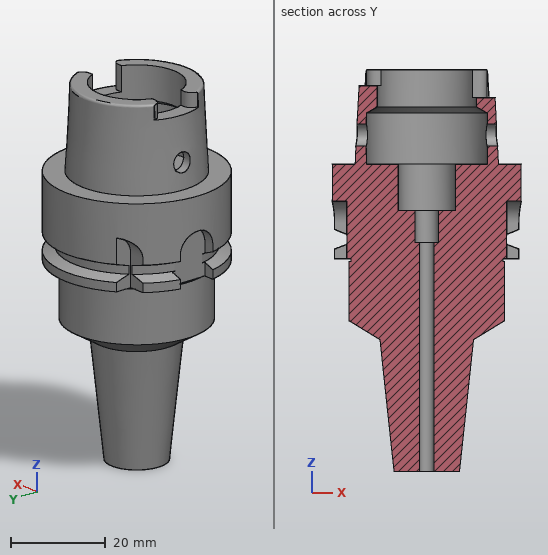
import cadquery as cq
import math

total_height = 85.0

nose_tip_radius = 7.0
nose_root_radius = 9.95
nose_top = 27.9
body_radius = 16.5
body_bottom = 31.9

collar_diameter = 40.0
collar_radius = collar_diameter / 2
collar_bottom = 45.0
collar_top = 65.0
neck_radius = 17.3
groove_lower_edge = 47.1
groove_floor_bottom = 48.1
groove_floor_top = 50.1
groove_upper_edge = 51.2

undercut_height = 0.5
undercut_depth = 0.3

shank_root_radius = 15.2
shank_top_radius = 14.2
shank_edge_rounding = 0.6

mouth_radius = 10.45
lip_bottom = 77.1
chamber_radius = 12.75
clamping_face_angle = 30.0
chamber_cone_height = (chamber_radius - mouth_radius) * math.tan(math.radians(clamping_face_angle))
chamber_floor = collar_top
well_radius = 6.0
well_floor = 55.25
socket_radius = 2.5
socket_depth = 6.8
through_radius = 1.5

drive_slot_half_width = 4.0
drive_slot_flare = 2.0
drive_flare_start = 10.7
left_slot_depth = 3.4
right_slot_depth = 5.95

cross_hole_radius = 2.3
cross_hole_height = 71.15

keyway_radius = 4.5
keyway_top = 57.1
keyway_floor = 16.9
offset_keyway_floor = 12.1
offset_keyway_inner_wall = 12.0

outside_reach = 2 * collar_radius


def turned_body():
    undercut_radius = body_radius - undercut_depth
    profile = [
        (0, 0),
        (nose_tip_radius, 0),
        (nose_root_radius, nose_top),
        (body_radius, body_bottom),
        (body_radius, collar_bottom - undercut_height),
        (undercut_radius, collar_bottom - undercut_height),
        (undercut_radius, collar_bottom),
        (collar_radius, collar_bottom),
        (collar_radius, groove_lower_edge),
        (neck_radius, groove_floor_bottom),
        (neck_radius, groove_floor_top),
        (collar_radius, groove_upper_edge),
        (collar_radius, collar_top),
        (shank_root_radius, collar_top),
        (shank_top_radius, total_height),
        (0, total_height),
    ]
    body = cq.Workplane("XZ").polyline(profile).close().revolve(360, (0, 0), (0, 1))
    return body.edges(">Z").fillet(shank_edge_rounding)


def interior():
    socket_floor = well_floor - socket_depth
    profile = [
        (0, 0),
        (through_radius, 0),
        (through_radius, socket_floor),
        (socket_radius, socket_floor),
        (socket_radius, well_floor),
        (well_radius, well_floor),
        (well_radius, chamber_floor),
        (chamber_radius, chamber_floor),
        (chamber_radius, lip_bottom - chamber_cone_height),
        (mouth_radius, lip_bottom),
        (mouth_radius, total_height),
        (0, total_height),
    ]
    return cq.Workplane("XZ").polyline(profile).close().revolve(360, (0, 0), (0, 1))


def drive_slot(side, depth):
    """Rim slot on the +X (side = 1) or -X (side = -1) half, flared by outer corner arcs."""
    flare_end = side * (drive_flare_start + drive_slot_flare)
    flare_start = side * drive_flare_start
    half = drive_slot_half_width
    wide = half + drive_slot_flare
    mid_x = flare_start + side * drive_slot_flare * math.sin(math.pi / 4)
    mid_y = wide - drive_slot_flare * math.cos(math.pi / 4)
    far = side * outside_reach
    return (
        cq.Workplane("XY", origin=(0, 0, total_height - depth))
        .moveTo(0, -half)
        .lineTo(flare_start, -half)
        .threePointArc((mid_x, -mid_y), (flare_end, -wide))
        .lineTo(far, -wide)
        .lineTo(far, wide)
        .lineTo(flare_end, wide)
        .threePointArc((mid_x, mid_y), (flare_start, half))
        .lineTo(0, half)
        .close()
        .extrude(depth)
    )


def keyway(side, floor, center_y):
    """Round-topped keyway, open at the collar's lower face and cut along X down to its floor."""
    arc_height = keyway_top - keyway_radius
    return (
        cq.Workplane("YZ", origin=(side * floor, 0, 0))
        .moveTo(center_y - keyway_radius, collar_bottom)
        .lineTo(center_y - keyway_radius, arc_height)
        .threePointArc((center_y, keyway_top), (center_y + keyway_radius, arc_height))
        .lineTo(center_y + keyway_radius, collar_bottom)
        .close()
        .extrude(side * outside_reach)
    )


cross_hole = (
    cq.Workplane("YZ")
    .center(0, cross_hole_height)
    .circle(cross_hole_radius)
    .extrude(outside_reach, both=True)
)

result = turned_body().cut(interior()).cut(cross_hole)
for side, depth in ((-1, left_slot_depth), (1, right_slot_depth)):
    result = result.cut(drive_slot(side, depth))
    result = result.cut(keyway(side, keyway_floor, 0))
result = result.cut(keyway(-1, offset_keyway_floor, offset_keyway_inner_wall + keyway_radius))